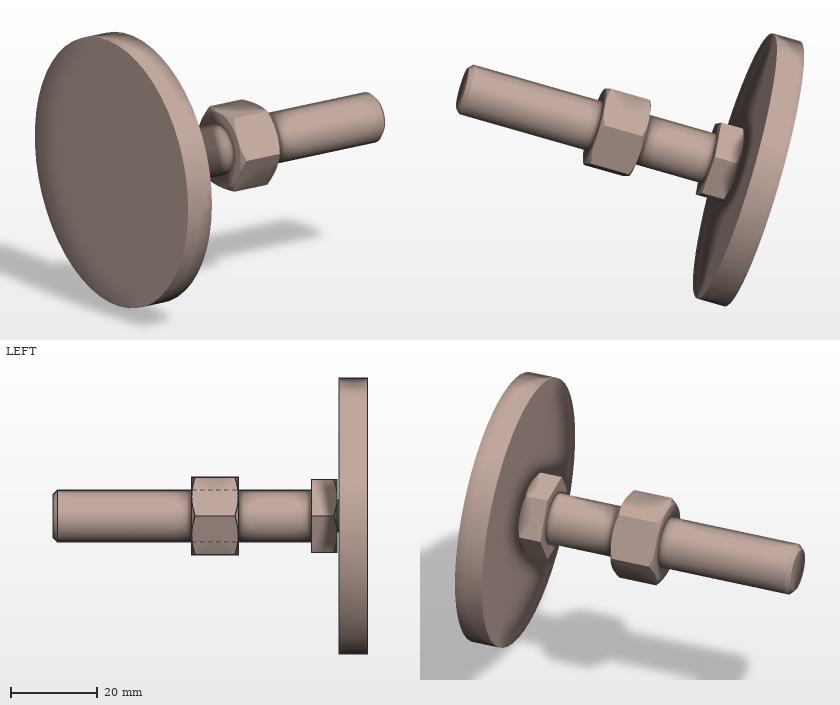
import cadquery as cq
import math

total_length = 73.0

disc_diameter = 64.0
disc_thickness = 6.65

neck_diameter = 7.45
neck_gap = 0.45

head_flats = 17.0
head_height = 6.0

shank_diameter = 12.0
tip_chamfer = 1.0

nut_flats = 18.0
nut_height = 10.8
nut_start = 30.0

corner_angle = 30.0

head_start = disc_thickness + neck_gap
shank_start = head_start + head_height


def plane_at(distance):
    """Plane across the axis, with its normal along +Y."""
    return cq.Plane(origin=(0, distance, 0), xDir=(1, 0, 0), normal=(0, 1, 0))


def cylinder(start, length, diameter):
    return cq.Workplane(plane_at(start)).circle(diameter / 2).extrude(length)


def chamfered_hexagon(start, height, flats, chamfer_far_end):
    """Hexagonal prism with corners on X, its corners turned down to the flats."""
    corner_radius = flats / 2 / math.cos(math.pi / 6)
    face_radius = flats / 2
    drop = (corner_radius - face_radius) * math.tan(math.radians(corner_angle))
    end = start + height

    prism = cq.Workplane(plane_at(start)).polygon(6, 2 * corner_radius).extrude(height)

    envelope = (
        cq.Workplane("XY")
        .moveTo(0, start)
        .lineTo(face_radius, start)
        .lineTo(corner_radius, start + drop)
    )
    if chamfer_far_end:
        envelope = envelope.lineTo(corner_radius, end - drop).lineTo(face_radius, end)
    else:
        envelope = envelope.lineTo(corner_radius, end)
    envelope = envelope.lineTo(0, end).close().revolve(360, (0, 0, 0), (0, 1, 0))
    return prism.intersect(envelope)


def make_disc():
    return cylinder(0, disc_thickness, disc_diameter)


def make_bolt():
    shank = cylinder(shank_start, total_length - shank_start, shank_diameter)
    shank = shank.faces(">Y").chamfer(tip_chamfer)
    head = chamfered_hexagon(head_start, head_height, head_flats, chamfer_far_end=False)
    neck = cylinder(disc_thickness, neck_gap, neck_diameter)
    return shank.union(head).union(neck)


def make_nut():
    blank = chamfered_hexagon(nut_start, nut_height, nut_flats, chamfer_far_end=True)
    return blank.cut(cylinder(nut_start, nut_height, shank_diameter))


disc = make_disc()
bolt = make_bolt()
nut = make_nut()

result = cq.Compound.makeCompound([disc.val(), bolt.val(), nut.val()])